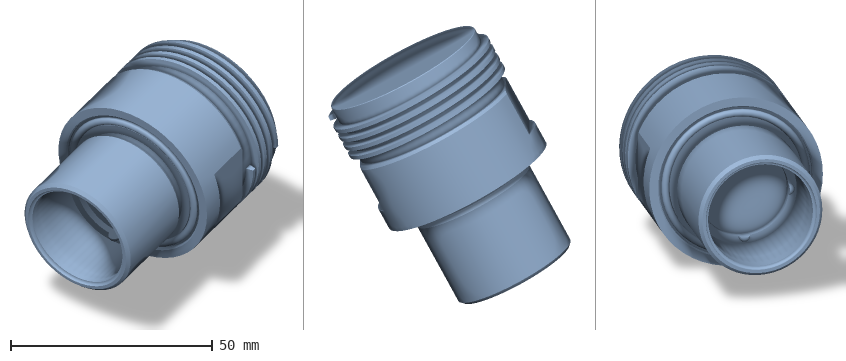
import cadquery as cq

total_length = 59.45
socket_length = 23.55
collar_start = 25.3
flat_start = 31.1
collar_end = 43.75

socket_radius = 15.9
neck_radius = 14.75
collar_radius = 22.25
spigot_radius = 20.3
flat_distance = 20.5

socket_front_chamfer = 0.85
socket_back_chamfer_length = 1.2
socket_back_chamfer_depth = 0.85
collar_chamfer_length = 0.8
collar_chamfer_depth = 0.5
spigot_chamfer = 0.2

bore_radius = 13.45
bore_depth = 17.1
bore_rim_round = 0.8
recess_radius = 11.35
recess_depth = 1.8
stud_radius = 1.5

seat_inner_radius = 17.05
seat_outer_radius = 19.6
seat_depth = 0.95
seat_chamfer = 0.35
ring_radius = 18.05
ring_section_radius = 0.95
ring_protrusion = 0.5

thread_length = 10.15
thread_turns = 4
thread_pitch = thread_length / thread_turns
thread_start = 46.35
thread_crest_radius = collar_radius
thread_crest_width = 1.0
thread_root_width = 1.7
thread_embed = 0.25


def make_body():
    """Revolve the solid outer shape about the Y axis."""
    seat_floor = collar_start + seat_depth
    profile = (
        cq.Workplane("XY")
        .moveTo(0, 0)
        .lineTo(socket_radius - socket_front_chamfer, 0)
        .lineTo(socket_radius, socket_front_chamfer)
        .lineTo(socket_radius, socket_length - socket_back_chamfer_length)
        .lineTo(socket_radius - socket_back_chamfer_depth, socket_length)
        .lineTo(neck_radius, socket_length)
        .lineTo(neck_radius, collar_start)
        .lineTo(seat_inner_radius, collar_start)
        .lineTo(seat_inner_radius, seat_floor)
        .lineTo(seat_outer_radius, seat_floor)
        .lineTo(seat_outer_radius, collar_start + seat_chamfer)
        .lineTo(seat_outer_radius + seat_chamfer, collar_start)
        .lineTo(collar_radius, collar_start)
        .lineTo(collar_radius, collar_end - collar_chamfer_length)
        .lineTo(collar_radius - collar_chamfer_depth, collar_end)
        .lineTo(spigot_radius, collar_end)
        .lineTo(spigot_radius, total_length - spigot_chamfer)
        .lineTo(spigot_radius - spigot_chamfer, total_length)
        .lineTo(0, total_length)
        .close()
    )
    return profile.revolve(360, (0, 0, 0), (0, 1, 0))


def make_seal_ring():
    """Ring of round section standing slightly proud of the collar face."""
    ring_center = collar_start - ring_protrusion + ring_section_radius
    return (
        cq.Workplane("XY")
        .center(ring_radius, ring_center)
        .circle(ring_section_radius)
        .revolve(360, (-ring_radius, 0, 0), (-ring_radius, 1, 0))
    )


def make_flat_cutters():
    """Blocks that cut a wrench flat on the -X and +X sides of the collar."""
    block_depth = collar_radius - flat_distance
    flat_length = collar_end - flat_start
    return (
        cq.Workplane("XY")
        .pushPoints([
            (side * (flat_distance + block_depth / 2), flat_start + flat_length / 2)
            for side in (-1, 1)
        ])
        .box(block_depth, flat_length, 2 * collar_radius)
    )


def make_bore():
    """Blind socket bore with a rounded mouth."""
    profile = (
        cq.Workplane("XY")
        .moveTo(0, 0)
        .lineTo(bore_radius + bore_rim_round, 0)
        .radiusArc((bore_radius, bore_rim_round), -bore_rim_round)
        .lineTo(bore_radius, bore_depth)
        .lineTo(0, bore_depth)
        .close()
    )
    return profile.revolve(360, (0, 0, 0), (0, 1, 0))


def make_studs():
    """Two domes on the bore floor, on the +X and -Z sides of the recess edge."""
    positions = [(recess_radius, bore_depth, 0), (0, bore_depth, -recess_radius)]
    return cq.Workplane("XY").pushPoints(positions).sphere(stud_radius)


def make_recess():
    """Central round recess in the bore floor, which also trims the studs."""
    recess_start = bore_depth - stud_radius
    recess_length = stud_radius + recess_depth
    return (
        cq.Workplane("XZ", origin=(0, recess_start, 0))
        .circle(recess_radius)
        .extrude(-recess_length)
    )


def make_thread():
    """Right-hand trapezoidal ridge, swept along Z and then laid onto the Y axis."""
    helix = cq.Wire.makeHelix(thread_pitch, thread_length, spigot_radius)
    root_radius = spigot_radius - thread_embed
    flank_slope = (thread_root_width - thread_crest_width) / 2 / (thread_crest_radius - spigot_radius)
    half_crest = thread_crest_width / 2
    half_root = thread_root_width / 2 + flank_slope * thread_embed
    ridge = (
        cq.Workplane("XZ")
        .polyline([
            (root_radius, -half_root),
            (thread_crest_radius, -half_crest),
            (thread_crest_radius, half_crest),
            (root_radius, half_root),
        ])
        .close()
        .sweep(cq.Workplane(obj=helix), isFrenet=True)
    )
    return ridge.rotate((0, 0, 0), (1, 0, 0), -90).translate((0, thread_start, 0))


result = (
    make_body()
    .union(make_seal_ring())
    .cut(make_flat_cutters())
    .cut(make_bore())
    .union(make_studs())
    .cut(make_recess())
    .union(make_thread())
)